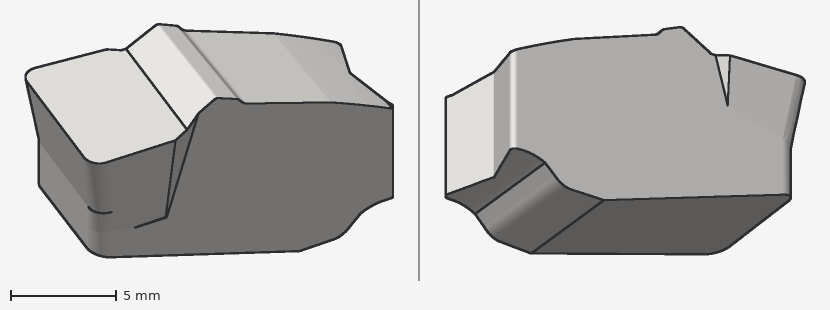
import cadquery as cq
import math

length = 16.74
width = 8.0
height = 10.96
mid_x = width / 2

shank_left = 0.5
shank_front = 0.47
shank_front_right = 7.37
wall_taper = 4.1
corner_radius = 0.8
tail_tip_radius = 0.25
valley_radius = 0.17
tail_left_y = 16.54
tail_right_y = 16.84
valley_x = 3.35
valley_y = 15.72

head_top = 9.98
head_bottom = 4.85
front_kink_z = 6.45
front_relief = shank_front / (head_top - front_kink_z)
flank_relief = 0.14
back_clearance = 0.04
flank_start = -0.03
back_corner_y = 4.49
back_slope = 1.68
back_lean = 0.27
head_inner_half_width = 2.85

ramp_foot_y = 5.32
ramp_slope = 0.58
ridge_slope = 0.44
ridge_y = 7.0
ridge_radius = 0.25
bottom_front_z = 3.78
bottom_flat_start = 11.35
bottom_flat_end = 13.29
tail_bottom_z = 1.29
tail_top_z = 6.66

heel_middle = (13.76, 0.17)
heel_end = (14.11, 0.47)
hollow_start = (14.66, 1.0)
hollow_middle = (15.23, 1.22)
hollow_end = (16.07, tail_bottom_z)
crown_start = (16.4, tail_top_z)
crown_middle = (14.73, 7.53)
crown_end = (13.04, 8.34)
step_foot = (8.55, 10.0)
step_lower_middle = (8.3, 10.13)
step_middle = (8.14, 10.31)
step_upper_middle = (8.02, 10.45)
ridge_start = (7.83, 10.55)

blank_height = height + 0.84

margin = 3.35


def shank_plan():
    """Plan outline with a V-notched tail, extruded above the finished ridge."""
    taper = math.tan(math.radians(wall_taper))
    tail_right_x = shank_front_right - taper * (tail_right_y - shank_front)
    outline = [
        (shank_left, shank_front),
        (shank_front_right, shank_front),
        (tail_right_x, tail_right_y),
        (valley_x, valley_y),
        (shank_left, tail_left_y),
    ]
    body = cq.Workplane("XY").polyline(outline).close().extrude(blank_height)
    body = body.edges("|Z").edges("<Y").fillet(corner_radius)
    valley = cq.selectors.NearestToPointSelector((valley_x, valley_y, height / 2))
    body = body.edges(valley).fillet(valley_radius)
    for tip in ((shank_left, tail_left_y), (tail_right_x, tail_right_y)):
        corner = cq.selectors.NearestToPointSelector((*tip, height / 2))
        body = body.edges(corner).fillet(tail_tip_radius)
    return body


def head_section(z, front_y):
    """Symmetric plan section of the head at height z."""
    depth = head_top - z
    flank_x = flank_start + flank_relief * depth
    back_corner_x = flank_start + back_clearance * back_corner_y
    back_start = back_corner_y - back_slope * back_corner_x - back_lean * depth
    corner_y = (back_start + back_slope * flank_x) / (1 - back_slope * back_clearance)
    inner_x = mid_x - head_inner_half_width
    left = [
        (flank_x + back_clearance * front_y, front_y),
        (flank_x + back_clearance * corner_y, corner_y),
        (inner_x, back_start + back_slope * inner_x),
    ]
    right = [(width - x, y) for x, y in reversed(left)]
    return cq.Wire.makePolygon([cq.Vector(x, y, z) for x, y in left + right], close=True)


def head_block(low, high, front_lean):
    """Ruled block between two heights with rounded front corners."""
    sections = []
    for z in (low, high):
        front_y = shank_front - front_lean * (z - front_kink_z)
        sections.append(head_section(z, front_y))
    block = cq.Workplane(cq.Solid.makeLoft(sections, True))
    middle = (low + high) / 2
    front_y = shank_front - front_lean * (middle - front_kink_z)
    flank_x = flank_start + flank_relief * (head_top - middle) + back_clearance * front_y
    for x in (flank_x, width - flank_x):
        corner = cq.selectors.NearestToPointSelector((x, front_y, middle))
        block = block.edges(corner).fillet(corner_radius)
    return block


def side_profile():
    """Side outline swept square to the mid-plane of the tapering shank."""
    bottom_slope = bottom_front_z / (bottom_flat_start - shank_front)
    bottom_start_z = bottom_slope * (bottom_flat_start + margin)
    plane = cq.Plane(origin=(shank_left, 0, 0), xDir=(0, 1, 0), normal=(1, 0, 0))
    plane = plane.rotated((0, wall_taper / 2, 0))
    profile = (
        cq.Workplane(plane)
        .moveTo(-margin, bottom_start_z)
        .lineTo(bottom_flat_start, 0)
        .lineTo(bottom_flat_end, 0)
        .threePointArc(heel_middle, heel_end)
        .lineTo(*hollow_start)
        .threePointArc(hollow_middle, hollow_end)
        .lineTo(length + margin, tail_bottom_z)
        .lineTo(length + margin, tail_top_z)
        .lineTo(*crown_start)
        .threePointArc(crown_middle, crown_end)
        .lineTo(*step_foot)
        .threePointArc(step_lower_middle, step_middle)
        .threePointArc(step_upper_middle, ridge_start)
        .lineTo(-margin, ridge_start[1] + ridge_slope * (ridge_start[0] + margin))
        .close()
    )
    return profile.extrude(2 * width, both=True)


def front_ramp():
    """Space above the flat head top and the ramp rising to the ridge."""
    return (
        cq.Workplane("YZ")
        .moveTo(-margin, head_top)
        .lineTo(ramp_foot_y, head_top)
        .lineTo(ramp_foot_y + margin, head_top + ramp_slope * margin)
        .lineTo(-margin, head_top + ramp_slope * margin)
        .close()
        .extrude(2 * width, both=True)
    )


shank = shank_plan()
upper_head = head_block(front_kink_z, blank_height, front_relief)
lower_head = head_block(head_bottom, front_kink_z, 0)
blank = shank.union(upper_head).union(lower_head)
result = blank.intersect(side_profile()).cut(front_ramp())
ridge = cq.selectors.NearestToPointSelector((mid_x, ridge_y, height))
result = result.edges(ridge).fillet(ridge_radius)